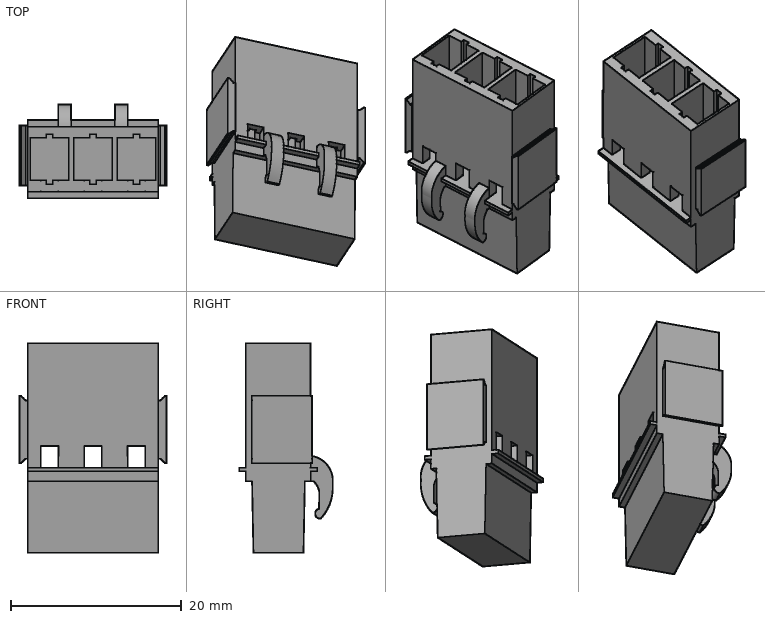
import cadquery as cq

height = 24.55
overall_width = 17.23

body_width = 15.3
body_depth = 7.6
body_bottom = 8.37

plug_depth_top = 6.2
plug_depth_bottom = 5.9
plug_offset_y = 0.02

flange_depth = 9.18
flange_thickness = 0.45
flange_top = 9.97

cavity_pitch = 5.08
cavity_count = 3
cavity_width = 4.5
cavity_depth = 4.98
keyway_width = 0.79
keyway_span = 5.9
cavity_floor = flange_top

window_width = 2.04
window_height = 2.53

grip_front = -3.1
grip_back = 3.95
grip_bottom = 10.48
grip_top = 18.36
grip_rim = 0.2
grip_neck = 0.25
grip_undercut = 0.52

latch_spacing = 6.63
latch_width = 1.52
latch_root_top = 11.37

latch_shoulder = (5.6, 10.45)
latch_widest = (6.38, 8.05)
latch_outer_curve = (6.0, 5.55)
latch_tip = (4.98, 4.0)
latch_bead = (4.4, 4.27)
latch_throat_bottom = (4.76, 5.15)
latch_throat_top = (4.79, 7.15)
latch_inner_curve = (4.52, 7.88)
latch_root_end = 4.12

half_width = body_width / 2
half_depth = body_depth / 2
cavity_positions = [(i - (cavity_count - 1) / 2) * cavity_pitch for i in range(cavity_count)]


def block(width, depth, bottom, top, x=0):
    """Box centred on x and on Y = 0, between two heights."""
    return (
        cq.Workplane("XY", origin=(x, 0, bottom))
        .box(width, depth, top - bottom, centered=(True, True, False))
    )


def make_plug():
    """Plug with a narrower foot; it spans the full housing width."""
    return (
        cq.Workplane("XY")
        .center(0, plug_offset_y)
        .rect(body_width, plug_depth_bottom)
        .workplane(offset=body_bottom)
        .rect(body_width, plug_depth_top)
        .loft(ruled=True)
    )


def make_cavity(x):
    """Cavity with a keyway front and back, plus the window crossing it."""
    room = block(cavity_width, cavity_depth, cavity_floor, height, x)
    keyways = block(keyway_width, keyway_span, cavity_floor, height, x)
    window = block(window_width, body_depth, cavity_floor, cavity_floor + window_height, x)
    return room.union(keyways).union(window)


def make_grip():
    """Grip on the +X side: a narrow neck flaring out to a thin rim."""
    outer = overall_width / 2
    neck_end = half_width + grip_neck
    neck_bottom = grip_bottom + grip_undercut
    neck_top = grip_top - grip_undercut
    outline = [
        (half_width, neck_bottom),
        (neck_end, neck_bottom),
        (outer - grip_rim, grip_bottom),
        (outer, grip_bottom),
        (outer, grip_top),
        (outer - grip_rim, grip_top),
        (neck_end, neck_top),
        (half_width, neck_top),
    ]
    return (
        cq.Workplane("XZ", origin=(0, grip_front, 0))
        .polyline(outline)
        .close()
        .extrude(grip_front - grip_back)
    )


def make_latch(x):
    """Hook that leaves the back wall, curves downward and ends in a rounded bead."""
    return (
        cq.Workplane("YZ", origin=(x - latch_width / 2, 0, 0))
        .moveTo(half_depth, body_bottom)
        .lineTo(half_depth, latch_root_top)
        .threePointArc(latch_shoulder, latch_widest)
        .threePointArc(latch_outer_curve, latch_tip)
        .threePointArc(latch_bead, latch_throat_bottom)
        .lineTo(*latch_throat_top)
        .threePointArc(latch_inner_curve, (latch_root_end, body_bottom))
        .close()
        .extrude(latch_width)
    )


housing = block(body_width, body_depth, body_bottom, height)
flange = block(body_width, flange_depth, flange_top - flange_thickness, flange_top)
housing = housing.union(flange).union(make_plug())
for cavity_x in cavity_positions:
    housing = housing.cut(make_cavity(cavity_x))

grip = make_grip()
result = housing.union(grip).union(grip.mirror("YZ"))
for latch_x in (-latch_spacing / 2, latch_spacing / 2):
    result = result.union(make_latch(latch_x))